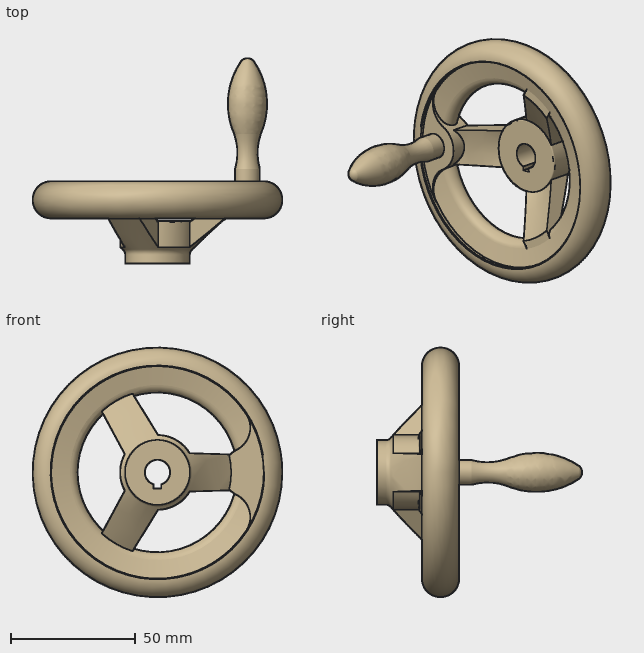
import cadquery as cq
import math


RIM_OUTER_RADIUS = 50.0
RIM_WIDTH = 15.0
RIM_FRONT_Y = 18.0
RIM_INNER_RADIUS = 31.9
TUBE_RADIUS = RIM_WIDTH / 2
TUBE_CENTRE_RADIUS = RIM_OUTER_RADIUS - TUBE_RADIUS
RIM_MID_Y = RIM_FRONT_Y + TUBE_RADIUS
WEB_NOSE_RADIUS = 4.0
WEB_SLOPE = math.radians(13)
RIM_LIP_ROUND = 0.3

COLLAR_RADIUS = 13.0
COLLAR_LENGTH = 3.7
COLLAR_BLEND_RADIUS = 2.5
HUB_RADIUS = 15.0
HUB_BACK_Y = 17.1
HUB_BACK_ROUND = 0.5
BORE_DIAMETER = 10.0
KEYWAY_WIDTH = 3.0
KEYWAY_DEPTH = 6.4

SPOKE_COUNT = 3
SPOKE_FRONT_SLOPE = 0.89
SPOKE_BACK_SLOPE = 0.74
SPOKE_BACK_ROOT_Y = 16.8
SPOKE_HALF_WIDTH_AT_AXIS = 8.1
SPOKE_TAPER = 0.03
SPOKE_RIM_OVERLAP = 6.0
SPOKE_END_RADIUS = RIM_INNER_RADIUS + SPOKE_RIM_OVERLAP
SPOKE_BACK_END_Y = RIM_MID_Y + WEB_NOSE_RADIUS

HANDLE_X = 36.0
BOSS_RADIUS = 10.0
BOSS_FLARE_RADIUS = 10.0
BOSS_THICKNESS = 12.0
BOSS_FRONT_Y = RIM_MID_Y - BOSS_THICKNESS / 2
BOSS_RIM_OVERLAP = 2.0

HANDLE_RADIUS = 5.0
HANDLE_COLLAR_Y = 37.9
NECK_RADIUS = 4.1
NECK_Y = 44.0
GRIP_START_RADIUS = 5.4
GRIP_START_Y = 51.9
GRIP_RADIUS = 7.9
GRIP_WIDEST_Y = 64.0
TIP_RADIUS = 2.5
TIP_START_Y = 81.1
TIP_Y = 82.2


def revolve_about_y(profile):
    """Turn a closed (radius, y) profile about the Y axis."""
    return profile.close().revolve(360, (0, 0, 0), (0, 1, 0))


def make_rim():
    nose_centre = RIM_INNER_RADIUS + WEB_NOSE_RADIUS
    flank_start = nose_centre - WEB_NOSE_RADIUS * math.sin(WEB_SLOPE)
    flank_half_start = WEB_NOSE_RADIUS * math.cos(WEB_SLOPE)
    flank_half_end = flank_half_start + (TUBE_CENTRE_RADIUS - flank_start) * math.tan(WEB_SLOPE)
    profile = (
        cq.Workplane("XY")
        .moveTo(TUBE_CENTRE_RADIUS, RIM_MID_Y - TUBE_RADIUS)
        .threePointArc((RIM_OUTER_RADIUS, RIM_MID_Y), (TUBE_CENTRE_RADIUS, RIM_MID_Y + TUBE_RADIUS))
        .lineTo(TUBE_CENTRE_RADIUS, RIM_MID_Y + flank_half_end)
        .lineTo(flank_start, RIM_MID_Y + flank_half_start)
        .threePointArc((RIM_INNER_RADIUS, RIM_MID_Y), (flank_start, RIM_MID_Y - flank_half_start))
        .lineTo(TUBE_CENTRE_RADIUS, RIM_MID_Y - flank_half_end)
    )
    return revolve_about_y(profile).edges("<Y or >Y").fillet(RIM_LIP_ROUND)


SHOULDER_ANGLE = math.pi / 2 - math.atan(SPOKE_FRONT_SLOPE)
SHOULDER_RADIUS = COLLAR_RADIUS + COLLAR_BLEND_RADIUS * (1 - math.cos(SHOULDER_ANGLE))
SHOULDER_Y = COLLAR_LENGTH + COLLAR_BLEND_RADIUS * math.sin(SHOULDER_ANGLE)


def front_cone_y(radius):
    return SHOULDER_Y + (radius - SHOULDER_RADIUS) * SPOKE_FRONT_SLOPE


def back_cone_y(radius):
    return SPOKE_BACK_ROOT_Y + (radius - HUB_RADIUS) * SPOKE_BACK_SLOPE


def make_hub():
    half_angle = SHOULDER_ANGLE / 2
    blend_middle = (
        COLLAR_RADIUS + COLLAR_BLEND_RADIUS * (1 - math.cos(half_angle)),
        COLLAR_LENGTH + COLLAR_BLEND_RADIUS * math.sin(half_angle),
    )
    profile = (
        cq.Workplane("XY")
        .lineTo(COLLAR_RADIUS, 0)
        .lineTo(COLLAR_RADIUS, COLLAR_LENGTH)
        .threePointArc(blend_middle, (SHOULDER_RADIUS, SHOULDER_Y))
        .lineTo(HUB_RADIUS, front_cone_y(HUB_RADIUS))
        .lineTo(HUB_RADIUS, HUB_BACK_Y)
        .lineTo(0, HUB_BACK_Y)
    )
    return revolve_about_y(profile).faces(">Y").edges().fillet(HUB_BACK_ROUND)


def make_spokes():
    root = SHOULDER_RADIUS
    level_radius = HUB_RADIUS + (SPOKE_BACK_END_Y - SPOKE_BACK_ROOT_Y) / SPOKE_BACK_SLOPE
    cone_band = revolve_about_y(
        cq.Workplane("XY")
        .moveTo(root, front_cone_y(root))
        .lineTo(SPOKE_END_RADIUS, front_cone_y(SPOKE_END_RADIUS))
        .lineTo(SPOKE_END_RADIUS, SPOKE_BACK_END_Y)
        .lineTo(level_radius, SPOKE_BACK_END_Y)
        .lineTo(root, back_cone_y(root))
    )
    end_half_width = SPOKE_HALF_WIDTH_AT_AXIS - SPOKE_TAPER * RIM_OUTER_RADIUS
    wedge = (
        cq.Workplane("XZ")
        .moveTo(0, -SPOKE_HALF_WIDTH_AT_AXIS)
        .lineTo(RIM_OUTER_RADIUS, -end_half_width)
        .lineTo(RIM_OUTER_RADIUS, end_half_width)
        .lineTo(0, SPOKE_HALF_WIDTH_AT_AXIS)
        .close()
        .extrude(-(RIM_FRONT_Y + RIM_WIDTH))
    )
    star = wedge
    for i in range(1, SPOKE_COUNT):
        star = star.union(wedge.rotate((0, 0, 0), (0, 1, 0), 360 * i / SPOKE_COUNT))
    return cone_band.intersect(star)


def make_boss():
    to_boss = BOSS_RADIUS + BOSS_FLARE_RADIUS
    to_axis = TUBE_CENTRE_RADIUS - BOSS_FLARE_RADIUS
    flare_x = (to_axis**2 - to_boss**2 + HANDLE_X**2) / (2 * HANDLE_X)
    flare_z = math.sqrt(to_axis**2 - flare_x**2)

    boss_x = HANDLE_X + (flare_x - HANDLE_X) * BOSS_RADIUS / to_boss
    boss_z = flare_z * BOSS_RADIUS / to_boss
    rim_x = flare_x * TUBE_CENTRE_RADIUS / to_axis
    rim_z = flare_z * TUBE_CENTRE_RADIUS / to_axis

    to_boss_angle = math.atan2(boss_z - flare_z, boss_x - flare_x)
    to_rim_angle = math.atan2(flare_z, flare_x)
    middle_angle = (to_boss_angle + to_rim_angle) / 2
    middle_x = flare_x + BOSS_FLARE_RADIUS * math.cos(middle_angle)
    middle_z = flare_z + BOSS_FLARE_RADIUS * math.sin(middle_angle)

    buried_radius = TUBE_CENTRE_RADIUS + BOSS_RIM_OVERLAP
    buried_x = rim_x * buried_radius / TUBE_CENTRE_RADIUS
    buried_z = rim_z * buried_radius / TUBE_CENTRE_RADIUS

    return (
        cq.Workplane("XZ", origin=(0, BOSS_FRONT_Y, 0))
        .moveTo(rim_x, rim_z)
        .threePointArc((middle_x, middle_z), (boss_x, boss_z))
        .threePointArc((HANDLE_X - BOSS_RADIUS, 0), (boss_x, -boss_z))
        .threePointArc((middle_x, -middle_z), (rim_x, -rim_z))
        .lineTo(buried_x, -buried_z)
        .threePointArc((buried_radius, 0), (buried_x, buried_z))
        .close()
        .extrude(-BOSS_THICKNESS)
    )


def make_handle():
    dome_rise = TIP_Y - TIP_START_Y
    dome_radius = (TIP_RADIUS**2 + dome_rise**2) / (2 * dome_rise)
    dome_half_angle = math.asin(TIP_RADIUS / dome_radius) / 2
    dome_middle = (
        dome_radius * math.sin(dome_half_angle),
        TIP_Y - dome_radius * (1 - math.cos(dome_half_angle)),
    )
    profile = (
        cq.Workplane("XY")
        .moveTo(0, RIM_MID_Y)
        .lineTo(HANDLE_RADIUS, RIM_MID_Y)
        .lineTo(HANDLE_RADIUS, HANDLE_COLLAR_Y)
        .threePointArc((NECK_RADIUS, NECK_Y), (GRIP_START_RADIUS, GRIP_START_Y))
        .threePointArc((GRIP_RADIUS, GRIP_WIDEST_Y), (TIP_RADIUS, TIP_START_Y))
        .threePointArc(dome_middle, (0, TIP_Y))
    )
    return revolve_about_y(profile).translate((HANDLE_X, 0, 0))


def make_keyed_bore():
    bore = cq.Workplane("XZ").circle(BORE_DIAMETER / 2).extrude(-HUB_BACK_Y)
    keyway = (
        cq.Workplane("XZ")
        .center(0, -KEYWAY_DEPTH / 2)
        .rect(KEYWAY_WIDTH, KEYWAY_DEPTH)
        .extrude(-HUB_BACK_Y)
    )
    return bore.union(keyway)


wheel = make_hub().union(make_spokes()).union(make_rim()).union(make_boss())
result = wheel.union(make_handle()).cut(make_keyed_bore())